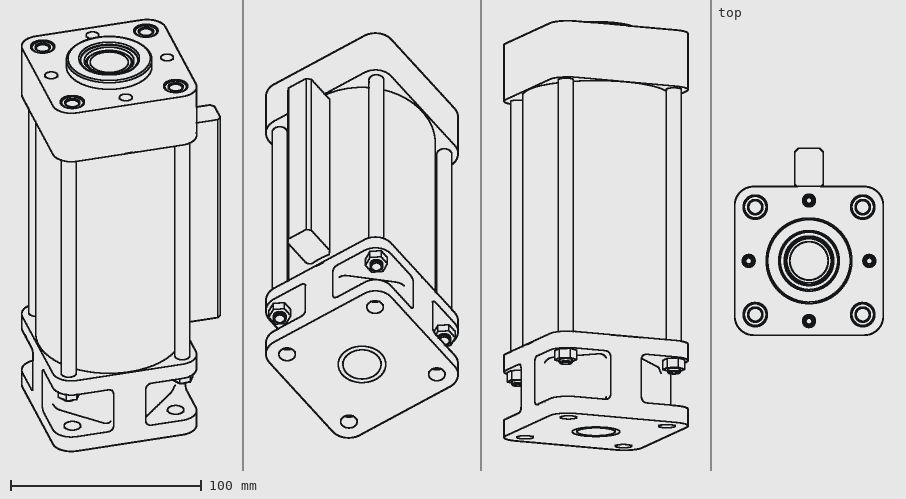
import cadquery as cq
import math

TOTAL_HEIGHT = 215.0
TOTAL_DEPTH = 98.0
BOSS_HEIGHT = 5.0
CAP_HEIGHT = 30.0
FLANGE_TOP = 43.9
POCKET_TOP = 35.0
POCKET_FLOOR = 9.0
CAP_TOP = TOTAL_HEIGHT - BOSS_HEIGHT
CAP_BOTTOM = CAP_TOP - CAP_HEIGHT

SIDE = 78.0
CORNER_RADIUS = 10.0
HALF_SIDE = SIDE / 2

BARREL_DIAMETER = 77.0

RIB_HALF_WIDTH = 8.8
POCKET_WALL_DEPTH = 6.0
POCKET_EDGE_RADIUS = 3.0
POCKET_CORNER_RADIUS = 1.7

MOUNT_OFFSET = 28.2
BASE_HOLE_DIAMETER = 8.5
CAP_RECESS_DIAMETER = 12.7
CAP_RECESS_DEPTH = 0.5
CAP_RECESS_CHAMFER = 0.6
CAP_HOLE_DIAMETER = 6.9
CAP_HOLE_MOUTH_DIAMETER = 8.0
CAP_HOLE_DEPTH = 17.2

SIDE_HOLE_OFFSET = 31.5
SIDE_HOLE_DIAMETERS = (6.7, 5.0, 3.2)
SIDE_HOLE_DEPTH = 10.8
SIDE_HOLE_STEP = 1.0
DRILL_TIP_ANGLE = 118.0

TIE_ROD_OFFSET = 31.0
TIE_ROD_DIAMETER = 8.0
NUT_ACROSS_FLATS = 10.0
NUT_HEIGHT = 5.0
STUD_DIAMETER = 6.7
STUD_LENGTH = 2.0
STUD_CHAMFER = 0.6

BOSS_DIAMETER = 45.0
BOSS_CHAMFER = 0.9
MOUTH_DIAMETER = 30.0
MOUTH_DEPTH = 1.3
MOUTH_CHAMFER = 0.9
ROD_CLEARANCE_DIAMETER = 26.0
ROD_CLEARANCE_DEPTH = 5.4

ROD_DIAMETER = 25.0
ROD_BORE = 20.0
ROD_TOP = 212.6
ROD_CHAMFER = 0.9

RAIL_WIDTH = 15.0
RAIL_BACK = TOTAL_DEPTH - HALF_SIDE
RAIL_FRONT = 38.0
RAIL_BOTTOM = 48.5
RAIL_TOP = 171.5
RAIL_CHAMFER = 2.0


def square_points(offset):
    """The four points at +/-offset along both X and Y."""
    return [(x, y) for x in (-offset, offset) for y in (-offset, offset)]


def cylinder(diameter, bottom, top):
    """A vertical cylinder on the central axis."""
    return cq.Workplane("XY").workplane(offset=bottom).circle(diameter / 2).extrude(top - bottom)


def square_block(bottom, top):
    """A square block with rounded corners."""
    block = cq.Workplane("XY").workplane(offset=bottom).rect(SIDE, SIDE).extrude(top - bottom)
    return block.edges("|Z").fillet(CORNER_RADIUS)


def blind_hole(diameter, top, depth):
    """A drilled hole with a conical tip, as a solid to cut away."""
    radius = diameter / 2
    tip = radius / math.tan(math.radians(DRILL_TIP_ANGLE / 2))
    profile = [(0, top), (radius, top), (radius, top - depth), (0, top - depth - tip)]
    return cq.Workplane("XZ").polyline(profile).close().revolve(360, (0, 0), (0, 1))


def corner_pocket():
    """The pocket at the +X +Y corner: two rounded walls and a slanted back."""
    reach = HALF_SIDE + POCKET_EDGE_RADIUS
    height = POCKET_TOP - POCKET_FLOOR
    wall_end = HALF_SIDE - POCKET_WALL_DEPTH
    plan = [
        (RIB_HALF_WIDTH, reach),
        (RIB_HALF_WIDTH, wall_end),
        (wall_end, RIB_HALF_WIDTH),
        (reach, RIB_HALF_WIDTH),
        (reach, reach),
    ]
    prism = cq.Workplane("XY").workplane(offset=POCKET_FLOOR).polyline(plan).close().extrude(height)
    back_corners = plan[1:3]
    for x, y in back_corners:
        prism = prism.edges(cq.selectors.NearestToPointSelector((x, y, POCKET_FLOOR + height / 2)))
        prism = prism.fillet(POCKET_CORNER_RADIUS)
    block = cq.Workplane("XY").box(reach, reach, height, centered=False)
    block = block.translate((RIB_HALF_WIDTH, RIB_HALF_WIDTH, POCKET_FLOOR))
    rounded_in_x = block.edges("<X and (>Z or <Z)").fillet(POCKET_EDGE_RADIUS)
    rounded_in_y = block.edges("<Y and (>Z or <Z)").fillet(POCKET_EDGE_RADIUS)
    return prism.intersect(rounded_in_x).intersect(rounded_in_y)


def base():
    """The lower end block with its corner pockets and mounting holes."""
    block = square_block(0, FLANGE_TOP)
    pocket = corner_pocket()
    for angle in range(0, 360, 90):
        block = block.cut(pocket.rotate((0, 0, 0), (0, 0, 1), angle))
    holes = (
        cq.Workplane("XY")
        .pushPoints(square_points(MOUNT_OFFSET))
        .circle(BASE_HOLE_DIAMETER / 2)
        .extrude(POCKET_FLOOR)
    )
    return block.cut(holes)


def cap_corner_hole():
    """A shallow chamfered recess with a drilled hole in its floor."""
    floor = CAP_TOP - CAP_RECESS_DEPTH
    mouth = (CAP_HOLE_MOUTH_DIAMETER - CAP_HOLE_DIAMETER) / 2
    radius = CAP_RECESS_DIAMETER / 2
    profile = [
        (0, CAP_TOP),
        (radius, CAP_TOP),
        (radius - CAP_RECESS_CHAMFER, floor),
        (CAP_HOLE_MOUTH_DIAMETER / 2, floor),
        (CAP_HOLE_DIAMETER / 2, floor - mouth),
        (0, floor - mouth),
    ]
    recess = cq.Workplane("XZ").polyline(profile).close().revolve(360, (0, 0), (0, 1))
    return recess.union(blind_hole(CAP_HOLE_DIAMETER, floor, CAP_HOLE_DEPTH))


def cap_side_hole():
    """A flat-bottomed hole that narrows in steps, as a solid to cut away."""
    hole = cq.Workplane("XY")
    for step, diameter in enumerate(SIDE_HOLE_DIAMETERS):
        floor = CAP_TOP - SIDE_HOLE_DEPTH - step * SIDE_HOLE_STEP
        hole = hole.union(cylinder(diameter, floor, CAP_TOP))
    return hole


def cap():
    """The upper end block with its boss and holes."""
    boss = cylinder(BOSS_DIAMETER, CAP_TOP, TOTAL_HEIGHT).faces(">Z").edges().chamfer(BOSS_CHAMFER)
    block = square_block(CAP_BOTTOM, CAP_TOP).union(boss)
    corner_hole = cap_corner_hole()
    for x, y in square_points(MOUNT_OFFSET):
        block = block.cut(corner_hole.translate((x, y, 0)))
    side_hole = cap_side_hole().translate((SIDE_HOLE_OFFSET, 0, 0))
    for angle in range(0, 360, 90):
        block = block.cut(side_hole.rotate((0, 0, 0), (0, 0, 1), angle))
    mouth = cylinder(MOUTH_DIAMETER, TOTAL_HEIGHT - MOUTH_DEPTH, TOTAL_HEIGHT)
    clearance = cylinder(ROD_CLEARANCE_DIAMETER, TOTAL_HEIGHT - ROD_CLEARANCE_DEPTH, TOTAL_HEIGHT)
    block = block.cut(mouth).cut(clearance)
    mouth_edge = cq.selectors.RadiusNthSelector(0)
    return block.faces(">Z").edges(mouth_edge).chamfer(MOUTH_CHAMFER)


def tie_rod():
    """A tie rod with its nut and the thinner stud end below the nut."""
    nut_bottom = POCKET_TOP - NUT_HEIGHT
    rod = cylinder(TIE_ROD_DIAMETER, nut_bottom, CAP_BOTTOM)
    nut = (
        cq.Workplane("XY")
        .workplane(offset=nut_bottom)
        .polygon(6, NUT_ACROSS_FLATS, circumscribed=True)
        .extrude(NUT_HEIGHT)
    )
    stud = cylinder(STUD_DIAMETER, nut_bottom - STUD_LENGTH, nut_bottom)
    stud = stud.faces("<Z").chamfer(STUD_CHAMFER)
    return rod.union(nut).union(stud)


def sensor_rail():
    """An upright bar with chamfered long edges, sunk slightly into the barrel."""
    depth = RAIL_BACK - RAIL_FRONT
    rail = (
        cq.Workplane("XY")
        .workplane(offset=RAIL_BOTTOM)
        .center(0, RAIL_FRONT + depth / 2)
        .rect(RAIL_WIDTH, depth)
        .extrude(RAIL_TOP - RAIL_BOTTOM)
    )
    return rail.edges("|Z").chamfer(RAIL_CHAMFER)


def make_housing():
    """The housing: end blocks, barrel, rail and tie rods, bored for the piston rod."""
    barrel = cylinder(BARREL_DIAMETER, FLANGE_TOP, CAP_BOTTOM)
    body = base().union(barrel).union(cap()).union(sensor_rail())
    rod = tie_rod()
    for x, y in square_points(TIE_ROD_OFFSET):
        body = body.union(rod.translate((x, y, 0)))
    return body.cut(cylinder(ROD_DIAMETER, 0, TOTAL_HEIGHT))


def make_piston_rod():
    """The hollow piston rod, filling the bore of the housing up to its mouth."""
    rod = cylinder(ROD_DIAMETER, 0, ROD_TOP).faces(">Z").chamfer(ROD_CHAMFER)
    return rod.cut(cylinder(ROD_BORE, 0, ROD_TOP))


housing = make_housing()
piston_rod = make_piston_rod()
result = cq.Compound.makeCompound([housing.val(), piston_rod.val()])